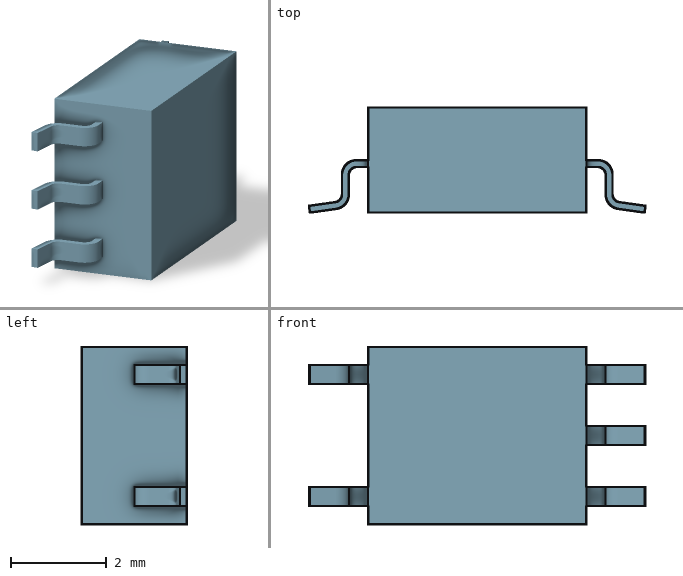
import cadquery as cq
import math

overall_length = 7.02
body_length = 4.55
body_depth = 2.2
body_height = 3.7

lead_thickness = 0.15
lead_width = 0.4
lead_pitch = 1.27
shoulder_length = 0.24
inner_bend_radius = 0.16
foot_angle = math.radians(8)

front_y = -body_depth / 2
lead_reach = (overall_length - body_length) / 2
bend_radius = inner_bend_radius + lead_thickness / 2


def make_body():
    return cq.Workplane("XY").box(body_length, body_depth, body_height)


def make_lead(z):
    """Gull-wing lead on the +X side, its width centred on height z."""
    half_thickness = lead_thickness / 2
    sin_foot = math.sin(foot_angle)
    cos_foot = math.cos(foot_angle)
    body_x = body_length / 2
    shoulder_y = -half_thickness
    shoulder_end_x = body_x + shoulder_length
    shank_x = shoulder_end_x + bend_radius

    tip_x = body_x + lead_reach - half_thickness * sin_foot
    tip_y = front_y + half_thickness * cos_foot
    foot_start_x = shank_x + bend_radius * (1 - sin_foot)
    foot_start_y = tip_y + (tip_x - foot_start_x) * math.tan(foot_angle)
    shank_end_y = foot_start_y + bend_radius * cos_foot

    centreline = (
        cq.Workplane("XY", origin=(0, 0, z))
        .moveTo(body_x, shoulder_y)
        .lineTo(shoulder_end_x, shoulder_y)
        .tangentArcPoint((shank_x, shoulder_y - bend_radius), relative=False)
        .lineTo(shank_x, shank_end_y)
        .tangentArcPoint((foot_start_x, foot_start_y), relative=False)
        .lineTo(tip_x, tip_y)
    )
    section = cq.Workplane("YZ", origin=(body_x, shoulder_y, z)).rect(lead_thickness, lead_width)
    return section.sweep(centreline)


result = make_body()

for z in (-lead_pitch, 0, lead_pitch):
    result = result.union(make_lead(z))

for z in (-lead_pitch, lead_pitch):
    result = result.union(make_lead(z).mirror("YZ"))